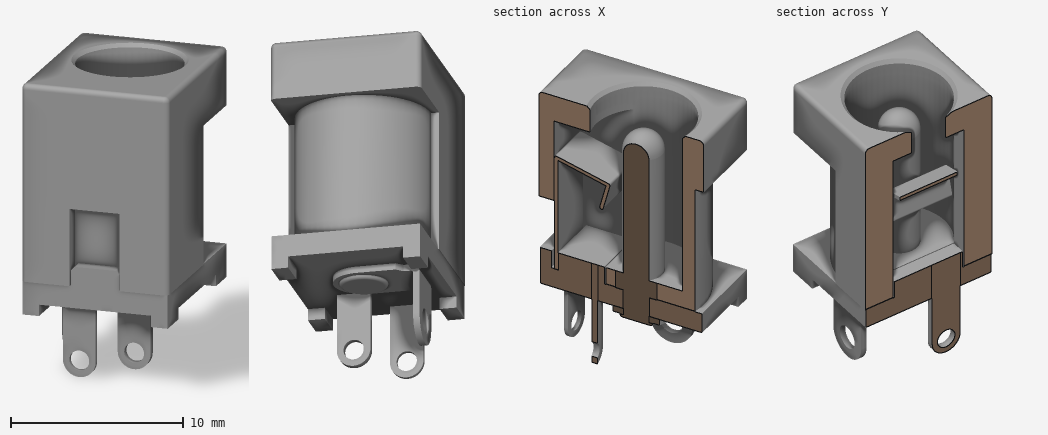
import cadquery as cq


TOTAL_HEIGHT = 17.8
HOUSING_WIDTH = 9.0
HOUSING_FRONT_Y = -6.5
HOUSING_BACK_Y = 4.5
HOUSING_BOTTOM_Z = 5.8
EDGE_RADIUS = 0.32
BARREL_RADIUS = 4.02
SHELF_Z = 14.25
BORE_RADIUS = 3.19
BORE_CHAMFER = 0.21

CAVITY_WIDTH = 4.98
CAVITY_BACK_Y = -2.03
CAVITY_TOP_Z = 16.02
WINDOW_WIDTH = 3.08
WINDOW_HEIGHT = 4.7
FIT_GAP = 0.07

BASE_SIDE_INSET = 0.05
BASE_END_INSET = 0.1
RECESS_Z = 4.47
FOOT_BOTTOM_Z = 3.77
FOOT_SIZE_X = 1.01
FOOT_SIZE_Y = 1.95
TAB_HEIGHT = 1.17
TAB_CHAMFER = 0.21
TAB_CLEARANCE = 0.18

PIN_RADIUS = 1.25
SHOULDER_RADIUS = 1.62
PIN_TIP_Z = 16.57
RIVET_RADIUS = 1.42
RIVET_HEIGHT = 0.21
RIVET_ROUNDING = 0.2

LEAD_WIDTH = 2.01
LEAD_HOLE_RADIUS = 0.6
SPRING_THICKNESS = 0.27
SPRING_LEAD_X = -1.28
SPRING_Y = -5.3
SWITCH_THICKNESS = 0.41
SWITCH_LEAD_X = 1.25
SWITCH_Y = -2.76

LEAF_WIDTH = 4.1
LEAF_FOLD_Z = 13.53
LEAF_CONTACT_Y = -1.87
LEAF_CONTACT_Z = 12.73
LEAF_END_Y = -2.31
LEAF_END_Z = 11.04

CENTRE_LEAD_WIDTH = 2.81
CENTRE_THICKNESS = 0.4
CENTRE_LEAD_X = -3.68
CENTRE_HOLE_RADIUS = 0.75
BEND_INNER_RADIUS = 0.15
EYE_RADIUS = 1.8
EYE_TAPER_START_X = -2.72

FLOOR_Z = HOUSING_BOTTOM_Z + TAB_HEIGHT
CAVITY_FRONT_Y = SPRING_Y - SPRING_THICKNESS / 2
BASE_WIDTH = HOUSING_WIDTH - 2 * BASE_SIDE_INSET
BASE_FRONT_Y = HOUSING_FRONT_Y + BASE_END_INSET
BASE_BACK_Y = HOUSING_BACK_Y - BASE_END_INSET
RIVET_TOP_Z = RECESS_Z - CENTRE_THICKNESS


def block(x_range, y_range, z_range):
    """Axis-aligned box between the given pairs of coordinates."""
    (x0, x1), (y0, y1), (z0, z1) = x_range, y_range, z_range
    return cq.Workplane("XY").box(x1 - x0, y1 - y0, z1 - z0, centered=False).translate((x0, y0, z0))


def centred_block(width, y_range, z_range, x=0.0):
    """Box of the given width, centred on x."""
    return block((x - width / 2, x + width / 2), y_range, z_range)


def cylinder(radius, z0, z1):
    """Cylinder on the Z axis."""
    return cq.Workplane("XY").workplane(offset=z0).circle(radius).extrude(z1 - z0)


def housing_shell():
    """Outer block, reduced to a round barrel at the back below the shelf."""
    shell = centred_block(HOUSING_WIDTH, (HOUSING_FRONT_Y, HOUSING_BACK_Y), (HOUSING_BOTTOM_Z, TOTAL_HEIGHT))
    shell = shell.edges("|Z or >Z").fillet(EDGE_RADIUS)
    relief = centred_block(HOUSING_WIDTH, (0, HOUSING_BACK_Y), (HOUSING_BOTTOM_Z, SHELF_Z))
    return shell.cut(relief.cut(cylinder(BARREL_RADIUS, HOUSING_BOTTOM_Z, SHELF_Z)))


def make_housing():
    bore = cylinder(BORE_RADIUS, FLOOR_Z, TOTAL_HEIGHT)
    mouth = (
        cq.Workplane("XY")
        .workplane(offset=TOTAL_HEIGHT - BORE_CHAMFER)
        .circle(BORE_RADIUS)
        .workplane(offset=BORE_CHAMFER)
        .circle(BORE_RADIUS + BORE_CHAMFER)
        .loft()
    )
    shoulder_hole = cylinder(SHOULDER_RADIUS, HOUSING_BOTTOM_Z, FLOOR_Z)
    cavity = centred_block(CAVITY_WIDTH, (CAVITY_FRONT_Y, CAVITY_BACK_Y), (HOUSING_BOTTOM_Z, CAVITY_TOP_Z))
    window = centred_block(
        WINDOW_WIDTH,
        (HOUSING_FRONT_Y, CAVITY_FRONT_Y),
        (HOUSING_BOTTOM_Z, HOUSING_BOTTOM_Z + WINDOW_HEIGHT),
    )
    return housing_shell().cut(bore).cut(mouth).cut(shoulder_hole).cut(cavity).cut(window)


def lead_slot(x, y, thickness, top_z):
    """Space that a front lead takes up in the base."""
    return centred_block(LEAD_WIDTH, (y - thickness / 2, y + thickness / 2), (RECESS_Z, top_z), x)


def make_base():
    base = centred_block(BASE_WIDTH, (BASE_FRONT_Y, BASE_BACK_Y), (RECESS_Z, HOUSING_BOTTOM_Z))

    for x in (-BASE_WIDTH / 2, BASE_WIDTH / 2 - FOOT_SIZE_X):
        for y in (BASE_FRONT_Y, BASE_BACK_Y - FOOT_SIZE_Y):
            foot = block((x, x + FOOT_SIZE_X), (y, y + FOOT_SIZE_Y), (FOOT_BOTTOM_Z, RECESS_Z))
            base = base.union(foot)

    plug = centred_block(
        CAVITY_WIDTH - 2 * FIT_GAP,
        (SPRING_Y + SPRING_THICKNESS / 2, CAVITY_BACK_Y - FIT_GAP),
        (HOUSING_BOTTOM_Z, FLOOR_Z),
    )
    tab = centred_block(
        WINDOW_WIDTH - 2 * FIT_GAP,
        (BASE_FRONT_Y, CAVITY_FRONT_Y - TAB_CLEARANCE),
        (HOUSING_BOTTOM_Z, FLOOR_Z),
    )
    tab = tab.edges("|Y and >Z").chamfer(TAB_CHAMFER)
    base = base.union(plug).union(tab)

    base = base.cut(cylinder(PIN_RADIUS, RECESS_Z, HOUSING_BOTTOM_Z))
    base = base.cut(lead_slot(SPRING_LEAD_X, SPRING_Y, SPRING_THICKNESS, HOUSING_BOTTOM_Z))
    return base.cut(lead_slot(SWITCH_LEAD_X, SWITCH_Y, SWITCH_THICKNESS, FLOOR_Z))


def make_pin():
    shank = cylinder(PIN_RADIUS, RIVET_TOP_Z, PIN_TIP_Z - PIN_RADIUS)
    tip = cq.Workplane("XY").sphere(PIN_RADIUS).translate((0, 0, PIN_TIP_Z - PIN_RADIUS))
    shoulder = cylinder(SHOULDER_RADIUS, HOUSING_BOTTOM_Z, FLOOR_Z)
    rivet = cylinder(RIVET_RADIUS, RIVET_TOP_Z - RIVET_HEIGHT, RIVET_TOP_Z)
    rivet = rivet.faces("<Z").edges().fillet(RIVET_ROUNDING)
    return shank.union(tip).union(shoulder).union(rivet)


def lead(plane, width, thickness, top_z, hole_radius):
    """Flat lead with a round, drilled lower end, centred on the given plane."""
    radius = width / 2
    outline = (
        cq.Workplane(plane)
        .moveTo(-radius, top_z)
        .lineTo(-radius, radius)
        .threePointArc((0, 0), (radius, radius))
        .lineTo(radius, top_z)
        .close()
    )
    hole = cq.Workplane(plane).center(0, radius).circle(hole_radius).extrude(thickness / 2, both=True)
    return outline.extrude(thickness / 2, both=True).cut(hole)


def front_lead(x, y, thickness, top_z):
    return lead("XZ", LEAD_WIDTH, thickness, top_z, LEAD_HOLE_RADIUS).translate((x, y, 0))


def make_spring_terminal():
    """Lead that carries a wide leaf, folded over so that it reaches into the bore."""
    half = SPRING_THICKNESS / 2
    upright_bottom_z = HOUSING_BOTTOM_Z + SPRING_THICKNESS
    foot = centred_block(
        LEAF_WIDTH,
        (SPRING_Y - half, SPRING_Y + half),
        (HOUSING_BOTTOM_Z, upright_bottom_z),
    )
    leaf = (
        cq.Workplane("YZ")
        .polyline([
            (SPRING_Y, upright_bottom_z),
            (SPRING_Y, LEAF_FOLD_Z),
            (LEAF_CONTACT_Y, LEAF_CONTACT_Z),
            (LEAF_END_Y, LEAF_END_Z),
        ])
        .offset2D(half)
        .extrude(LEAF_WIDTH / 2, both=True)
    )
    solder_lead = front_lead(SPRING_LEAD_X, SPRING_Y, SPRING_THICKNESS, HOUSING_BOTTOM_Z)
    return solder_lead.union(foot).union(leaf)


def make_switch_terminal():
    return front_lead(SWITCH_LEAD_X, SWITCH_Y, SWITCH_THICKNESS, FLOOR_Z)


def make_centre_terminal():
    """Lead bent under the base into an eye around the pin."""
    half_width = CENTRE_LEAD_WIDTH / 2
    bend_radius = CENTRE_THICKNESS + BEND_INNER_RADIUS
    bend_end_x = CENTRE_LEAD_X + bend_radius
    bend_z = RECESS_Z - bend_radius

    leg = lead("YZ", CENTRE_LEAD_WIDTH, CENTRE_THICKNESS, bend_z, CENTRE_HOLE_RADIUS)
    leg = leg.translate((CENTRE_LEAD_X + CENTRE_THICKNESS / 2, 0, 0))

    bend = (
        cq.Workplane("XY")
        .workplane(offset=bend_z)
        .center(CENTRE_LEAD_X + CENTRE_THICKNESS / 2, 0)
        .rect(CENTRE_THICKNESS, CENTRE_LEAD_WIDTH)
        .revolve(90, (bend_radius - CENTRE_THICKNESS / 2, -0.18), (bend_radius - CENTRE_THICKNESS / 2, 0.18))
    )

    taper_end_x = EYE_TAPER_START_X + EYE_RADIUS - half_width
    eye = (
        cq.Workplane("XY")
        .workplane(offset=RIVET_TOP_Z)
        .moveTo(bend_end_x, -half_width)
        .lineTo(EYE_TAPER_START_X, -half_width)
        .lineTo(taper_end_x, -EYE_RADIUS)
        .lineTo(0, -EYE_RADIUS)
        .threePointArc((EYE_RADIUS, 0), (0, EYE_RADIUS))
        .lineTo(taper_end_x, EYE_RADIUS)
        .lineTo(EYE_TAPER_START_X, half_width)
        .lineTo(bend_end_x, half_width)
        .close()
        .extrude(CENTRE_THICKNESS)
        .cut(cylinder(PIN_RADIUS, RIVET_TOP_Z, RECESS_Z))
    )
    return leg.union(bend).union(eye)


housing = make_housing()
base = make_base()
pin = make_pin()
spring_terminal = make_spring_terminal()
switch_terminal = make_switch_terminal()
centre_terminal = make_centre_terminal()

result = cq.Compound.makeCompound([
    housing.solids().val(),
    base.solids().val(),
    pin.solids().val(),
    spring_terminal.solids().val(),
    switch_terminal.solids().val(),
    centre_terminal.solids().val(),
])